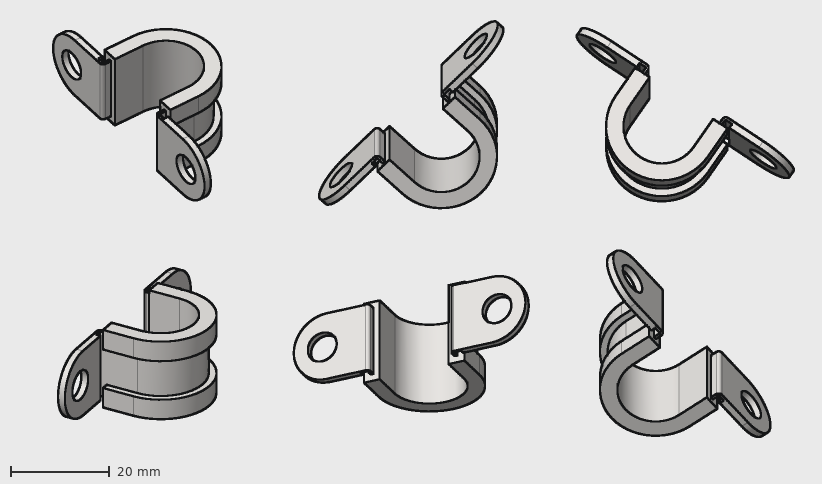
import cadquery as cq

length = 52.2
cushion_height = 18.0
strap_height = 15.0

outer_radius = 11.35
bore_radius = 7.8
cushion_leg = 7.1

groove_depth = 1.55
groove_height = 8.95

strap_thickness = 0.65
ear_thickness = 1.6
bend_radius = 0.8
mounting_depth = 9.3
hole_offset = 19.7
hole_diameter = 6.45

strap_outer_radius = outer_radius - groove_depth
strap_inner_radius = strap_outer_radius - strap_thickness
mounting_y = -mounting_depth


def arch(outer, inner, leg, height):
    """U-shaped wall with straight legs towards -Y, centred on Z = 0."""
    return (
        cq.Workplane("XY")
        .workplane(offset=-height / 2)
        .moveTo(-outer, -leg)
        .lineTo(-outer, 0)
        .threePointArc((0, outer), (outer, 0))
        .lineTo(outer, -leg)
        .lineTo(inner, -leg)
        .lineTo(inner, 0)
        .threePointArc((0, inner), (-inner, 0))
        .lineTo(-inner, -leg)
        .close()
        .extrude(height)
    )


def make_cushion():
    body = arch(outer_radius, bore_radius, cushion_leg, cushion_height)
    groove = arch(outer_radius, strap_outer_radius, cushion_leg, groove_height)
    return body.cut(groove)


def make_foot():
    """Right-hand foot: bent strap leg, thin neck and round-ended ear."""
    end_radius = strap_height / 2
    end_centre = length / 2 - end_radius
    profile = (
        cq.Workplane("XY")
        .workplane(offset=-strap_height / 2)
        .moveTo(strap_inner_radius, -cushion_leg)
        .lineTo(strap_outer_radius, -cushion_leg)
        .lineTo(strap_outer_radius, mounting_y + strap_thickness)
        .lineTo(outer_radius, mounting_y + strap_thickness)
        .lineTo(outer_radius, mounting_y + ear_thickness)
        .lineTo(end_centre, mounting_y + ear_thickness)
        .lineTo(end_centre, mounting_y)
        .lineTo(strap_inner_radius + bend_radius, mounting_y)
        .radiusArc((strap_inner_radius, mounting_y + bend_radius), bend_radius)
        .close()
        .extrude(strap_height)
    )
    mounting_face = cq.Workplane("XZ", origin=(0, mounting_y, 0))
    ear_end = mounting_face.center(end_centre, 0).circle(end_radius).extrude(-ear_thickness)
    outer_half = cq.Workplane("XY").box(
        end_radius, 2 * mounting_depth, strap_height, centered=(False, True, True)
    ).translate((end_centre, mounting_y, 0))
    hole = mounting_face.center(hole_offset, 0).circle(hole_diameter / 2).extrude(-ear_thickness)
    return profile.union(ear_end.intersect(outer_half)).cut(hole)


strap = arch(strap_outer_radius, strap_inner_radius, cushion_leg, strap_height)
right_foot = make_foot()
left_foot = right_foot.mirror("YZ")

result = make_cushion().union(strap).union(right_foot).union(left_foot)